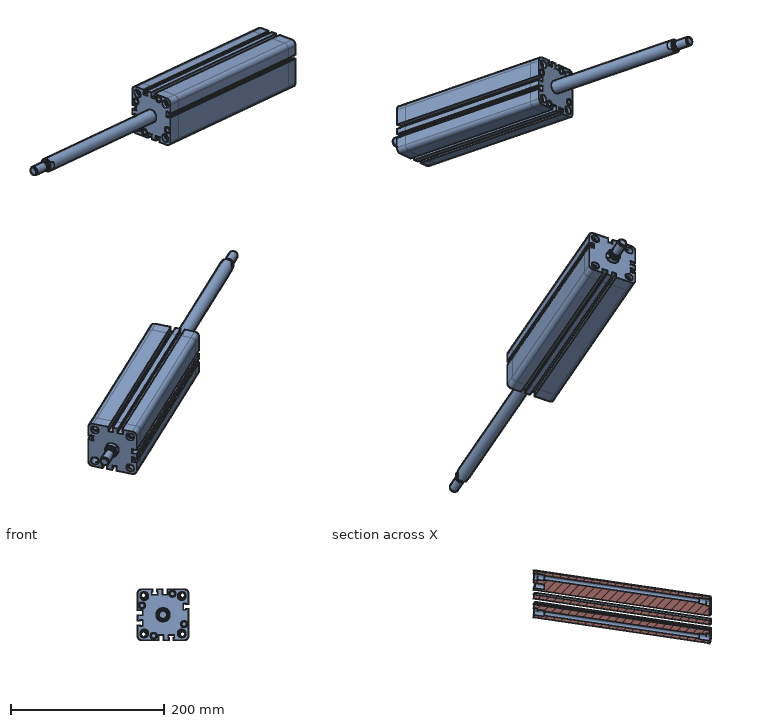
import cadquery as cq

overall_length = 508.5
body_width = 67.0
body_corner_radius = 6.5
body_rear_y = 222.0
body_length = 245.0
cap_length = 15.0

rod_diameter = 18.0
shoulder_diameter = 16.0
shoulder_chamfer_length = 1.5
thread_diameter = 12.0
thread_tip_diameter = 10.0
thread_tip_chamfer_length = 2.0
thread_length = 20.5
relief_diameter = 10.5
relief_length = 2.5
thread_lead_in_length = 1.5

flat_spacing = 12.5
flat_length = 2.5
flat_runout_length = 4.0

groove_depth = 7.0
t_slot_offset = -10.5
t_slot_opening = 5.5
t_slot_inner_width = 7.5
t_slot_lip = 3.5
plain_slot_offset = 2.5
plain_slot_width = 6.0

corner_hole_offset = 25.5
barrel_hole_diameter = 6.5
cap_hole_diameter = 8.5
corner_recess_offset = 24.5
corner_recess_diameter = 10.5
corner_recess_depth = 5.0

mount_hole_offset = 12.0
mount_hole_height = 27.5
mount_hole_diameter = 6.5
mount_bore_diameter = 8.5
mount_bore_depth = 1.0

half_length = overall_length / 2
half_width = body_width / 2
body_front_y = body_rear_y - body_length
barrel_front_y = body_front_y + cap_length
barrel_rear_y = body_rear_y - cap_length
barrel_length = barrel_rear_y - barrel_front_y
thread_y = half_length - thread_length
lead_in_y = thread_y - thread_lead_in_length
shoulder_y = lead_in_y - relief_length
chamfer_y = shoulder_y - shoulder_chamfer_length
quarter_turns = (0, 90, 180, 270)


def section_plane(y):
    """Sketch plane across the rod axis; extruding by -length goes toward +Y."""
    return cq.Workplane("XZ", origin=(0, y, 0))


def square_block(start_y, length):
    block = section_plane(start_y).rect(body_width, body_width).extrude(-length)
    return block.edges("|Y").fillet(body_corner_radius)


def cylinder(x, z, diameter, start_y, length):
    return section_plane(start_y).center(x, z).circle(diameter / 2).extrude(-length)


def groove(offset, width, start_depth, end_depth):
    """Full-length rectangular cutter below the +Z side, between two depths."""
    height = end_depth - start_depth
    middle_z = half_width - (start_depth + end_depth) / 2
    return section_plane(body_front_y).center(offset, middle_z).rect(width, height).extrude(-body_length)


def t_slot():
    opening = groove(t_slot_offset, t_slot_opening, 0, t_slot_lip)
    inner = groove(t_slot_offset, t_slot_inner_width, t_slot_lip, groove_depth)
    return opening.union(inner)


def plain_slot():
    return groove(plain_slot_offset, plain_slot_width, 0, groove_depth)


def corner_hole():
    """Stepped hole through the body, with an off-centre recess in each cap face."""
    place = corner_hole_offset
    hole = cylinder(place, place, barrel_hole_diameter, body_front_y, body_length)
    for cap_y in (body_front_y, barrel_rear_y):
        hole = hole.union(cylinder(place, place, cap_hole_diameter, cap_y, cap_length))
    place = corner_recess_offset
    for recess_y in (body_front_y, body_rear_y - corner_recess_depth):
        hole = hole.union(cylinder(place, place, corner_recess_diameter, recess_y, corner_recess_depth))
    return hole


def mount_hole():
    x = mount_hole_offset
    z = mount_hole_height
    bore = cylinder(x, z, mount_bore_diameter, body_front_y, mount_bore_depth)
    return bore.union(cylinder(x, z, mount_hole_diameter, body_front_y, cap_length))


def cut_around(shape, cutter, angles):
    """Cut copies of the cutter turned about the rod axis, keeping the cap joint lines."""
    for angle in angles:
        shape = shape.cut(cutter.rotate((0, 0, 0), (0, 1, 0), angle), clean=False)
    return shape


def body():
    shape = square_block(barrel_front_y, barrel_length)
    for cap_y in (body_front_y, barrel_rear_y):
        shape = shape.union(square_block(cap_y, cap_length), clean=False)
    shape = cut_around(shape, t_slot(), quarter_turns)
    shape = cut_around(shape, plain_slot(), (0, 180, 270))
    shape = cut_around(shape, corner_hole(), quarter_turns)
    return cut_around(shape, mount_hole(), quarter_turns)


def rod_blank():
    rear_end = [
        (rod_diameter / 2, chamfer_y),
        (shoulder_diameter / 2, shoulder_y),
        (relief_diameter / 2, shoulder_y),
        (relief_diameter / 2, lead_in_y),
        (thread_diameter / 2, thread_y),
        (thread_diameter / 2, half_length - thread_tip_chamfer_length),
        (thread_tip_diameter / 2, half_length),
        (0, half_length),
    ]
    front_end = [(radius, -y) for radius, y in reversed(rear_end)]
    outline = cq.Workplane("XY").polyline(rear_end + front_end).close()
    return outline.revolve(360, (0, 0, 0), (0, 1, 0))


def wrench_flat():
    """Cutter for the +X flat at the rear end, with a rounded run-out toward the barrel."""
    flat_x = flat_spacing / 2
    rod_x = rod_diameter / 2
    flat_end_y = shoulder_y - shoulder_chamfer_length / 2
    flat_start_y = flat_end_y - flat_length
    profile = (
        cq.Workplane("XY")
        .moveTo(flat_x, flat_end_y)
        .lineTo(flat_x, flat_start_y)
        .tangentArcPoint((rod_x, flat_start_y - flat_runout_length), relative=False)
        .lineTo(rod_x, flat_end_y)
        .close()
    )
    return profile.extrude(rod_diameter / 2, both=True)


def rod():
    rear_flats = wrench_flat().union(wrench_flat().mirror("YZ"))
    return rod_blank().cut(rear_flats).cut(rear_flats.mirror("XZ"))


result = body().union(rod(), clean=False)